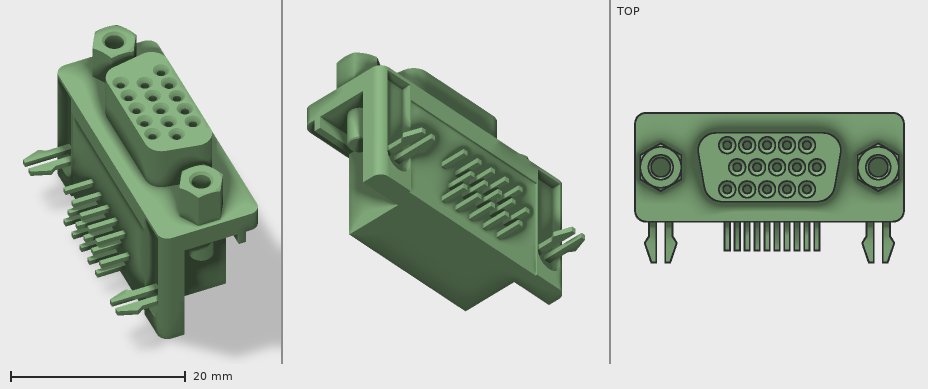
import cadquery as cq
import math


flange_width = 30.85
flange_depth = 12.5
flange_thickness = 2.62
corner_radius = 1.3
flange_top = 16.13
flange_bottom = flange_top - flange_thickness
mid_y = flange_depth / 2
front_wall_depth = 2.85
body_width = 19.3
body_back_y = 10.55
hook_thickness = 0.9
hook_drop = 1.63
panel_width = 20.97
panel_recess = 0.25

overall_height = 21.9
shell_depth = 7.85
shell_mid_width = 15.73
shell_side_angle = math.radians(10)
shell_corner_radius = 2.0

contacts_per_row = 5
contact_pitch = 2.28
row_pitch = 2.53
outer_row_x = -0.28
middle_row_x = outer_row_x + contact_pitch / 2
socket_diameter = 0.95
socket_mouth_diameter = 1.9
socket_depth = 3.08
pin_size = 0.65
pin_length = 3.3
pin_middle_z = 4.65

screw_x = 12.45
hex_across_flats = 4.75
hex_top = 20.85
hex_chamfer_width = 0.4
hex_chamfer_height = 0.22
thread_diameter = 2.22
thread_mouth_diameter = 2.85
thread_depth = 4.63
stud_diameter = 2.85
stud_bottom = 9.1
stud_chamfer = 0.15

pocket_width = 3.73
pocket_depth = 1.23
pocket_top = 15.65
pocket_bottom = 2.0
clip_length = 4.7
clip_thickness = 0.68
clip_gap = 1.0
clip_leg_reach = 1.35
clip_barb_reach = 1.85
clip_tip_reach = 1.08
barb_start_y = -1.65
barb_peak_y = -2.45


def block(x0, x1, y0, y1, z0, z1):
    """Axis-aligned box between two opposite corners."""
    return cq.Workplane("XY").box(x1 - x0, y1 - y0, z1 - z0, centered=False).translate((x0, y0, z0))


def cone_mouth(mouth_diameter, hole_diameter, top_z):
    """45-degree countersink cutter whose wide end is at top_z."""
    mouth_radius = mouth_diameter / 2
    hole_radius = hole_diameter / 2
    depth = mouth_radius - hole_radius
    return cq.Workplane(cq.Solid.makeCone(hole_radius, mouth_radius, depth)).translate((0, 0, top_z - depth))


def make_housing():
    """Flange, front wall, connector body and the rear hook rib under the flange."""
    half_width = flange_width / 2
    outline = block(-half_width, half_width, 0, flange_depth, 0, flange_top).edges("|Z").fillet(corner_radius)
    flange = outline.intersect(
        block(-half_width, half_width, 0, flange_depth, flange_bottom, flange_top)
    )
    front_wall = outline.intersect(
        block(-half_width, half_width, 0, front_wall_depth, 0, flange_top)
    )
    body = block(-body_width / 2, body_width / 2, 0, body_back_y, 0, flange_top)
    hook_rib = block(
        -half_width, half_width,
        body_back_y - hook_thickness, body_back_y,
        flange_bottom - hook_drop, flange_top,
    )
    panel = block(-panel_width / 2, panel_width / 2, 0, panel_recess, 0, flange_bottom)
    return flange.union(front_wall).union(body).union(hook_rib).cut(panel)


def make_shell():
    """Tapered D-shaped shell with rounded corners."""
    taper = shell_depth / 2 * math.tan(shell_side_angle)
    back_half = shell_mid_width / 2 + taper
    front_half = shell_mid_width / 2 - taper
    front_y = mid_y - shell_depth / 2
    back_y = mid_y + shell_depth / 2
    outline = [(-front_half, front_y), (front_half, front_y), (back_half, back_y), (-back_half, back_y)]
    return (
        cq.Workplane("XY", origin=(0, 0, flange_top))
        .polyline(outline).close().extrude(overall_height - flange_top)
        .edges("|Z").fillet(shell_corner_radius)
    )


def contact_positions():
    """(X, offset from the middle row) of every contact."""
    positions = []
    for row in (-1, 0, 1):
        row_x = middle_row_x if row == 0 else outer_row_x
        for column in range(contacts_per_row):
            x = row_x + (column - (contacts_per_row - 1) / 2) * contact_pitch
            positions.append((x, row * row_pitch))
    return positions


def make_socket_cutter():
    """One blind socket hole with a conical mouth, centred on the Z axis."""
    hole = (
        cq.Workplane("XY", origin=(0, 0, overall_height))
        .circle(socket_diameter / 2).extrude(-socket_depth)
    )
    return hole.union(cone_mouth(socket_mouth_diameter, socket_diameter, overall_height))


def make_pins():
    """Square solder pins standing out of the recessed front panel."""
    return (
        cq.Workplane("XZ", origin=(0, panel_recess, pin_middle_z))
        .pushPoints(contact_positions())
        .rect(pin_size, pin_size).extrude(pin_length + panel_recess)
    )


def make_jack_screw():
    """Chamfered hex standoff with a threaded hole above and a round stud below."""
    hex_corner_diameter = hex_across_flats / math.cos(math.pi / 6)
    hex_height = hex_top - flange_top
    hexagon = (
        cq.Workplane("XY", origin=(0, 0, flange_top))
        .polygon(6, hex_corner_diameter).extrude(hex_height)
        .rotate((0, 0, 0), (0, 0, 1), 30)
    )
    turned_blank = (
        cq.Workplane("XY", origin=(0, 0, flange_top))
        .circle(hex_corner_diameter / 2).extrude(hex_height)
        .faces(">Z").chamfer(hex_chamfer_height, hex_chamfer_width)
    )
    stud = (
        cq.Workplane("XY", origin=(0, 0, stud_bottom))
        .circle(stud_diameter / 2).extrude(flange_top - stud_bottom)
        .faces("<Z").chamfer(stud_chamfer)
    )
    thread = cq.Workplane("XY", origin=(0, 0, hex_top)).circle(thread_diameter / 2).extrude(-thread_depth)
    mouth = cone_mouth(thread_mouth_diameter, thread_diameter, hex_top)
    return hexagon.intersect(turned_blank).union(stud).cut(thread).cut(mouth)


def make_pocket():
    """Round-bottomed clip pocket cutter, centred on X = 0."""
    radius = pocket_width / 2
    arc_z = pocket_bottom + radius
    return (
        cq.Workplane("XZ")
        .moveTo(-radius, pocket_top).lineTo(-radius, arc_z)
        .threePointArc((0, pocket_bottom), (radius, arc_z))
        .lineTo(radius, pocket_top).close()
        .extrude(-pocket_depth)
    )


def make_clip():
    """Pair of mirrored barbed legs rooted in the pocket floor, centred on X = 0."""
    leg = (
        cq.Workplane("XY", origin=(0, 0, pin_middle_z - clip_thickness / 2))
        .polyline([
            (clip_gap / 2, front_wall_depth),
            (clip_leg_reach, front_wall_depth),
            (clip_leg_reach, barb_start_y),
            (clip_barb_reach, barb_peak_y),
            (clip_tip_reach, -clip_length),
            (clip_gap / 2, -clip_length),
        ])
        .close().extrude(clip_thickness)
    )
    return leg.union(leg.mirror("YZ"))


result = make_housing().union(make_shell()).union(make_pins())

socket_cutter = make_socket_cutter()
for contact_x, row_offset in contact_positions():
    result = result.cut(socket_cutter.translate((contact_x, mid_y + row_offset, 0)))

for side_x in (-screw_x, screw_x):
    result = result.cut(make_pocket().translate((side_x, 0, 0)))
    result = result.union(make_clip().translate((side_x, 0, 0)))
    result = result.union(make_jack_screw().translate((side_x, mid_y, 0)))